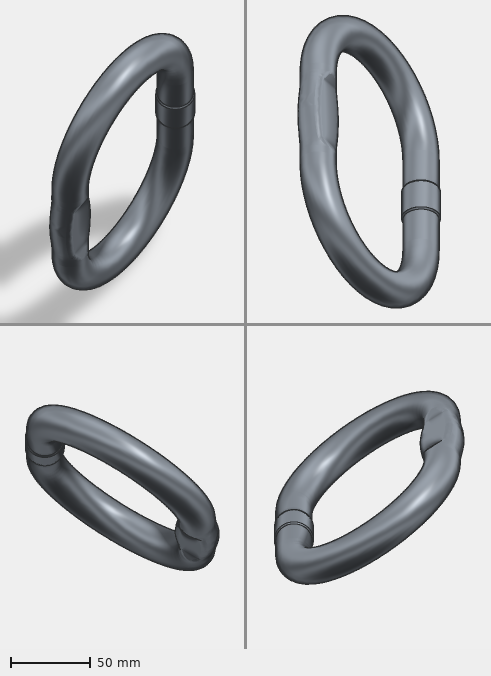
import cadquery as cq
import math

bar_diameter = 23.0
ring_height = 205.7
ring_width = 135.8

collar_diameter = 24.7
collar_length = 23.0
collar_end_length = 1.2

grip_diameter = 28.0
grip_length = 60.0
grip_crown_length = 43.2
grip_thickness = 17.3
flat_length = 45.5
ramp_angle = 21.0
ramp_foot_radius = 5.1
flat_edge_radius = 4.5

bar_radius = bar_diameter / 2
bend_radius = (ring_width - bar_diameter) / 2
leg_half = (ring_height - ring_width) / 2


def bend():
    """Half-circle bar joining the tops of the two legs."""
    return (
        cq.Workplane("XY", origin=(0, 0, leg_half))
        .center(0, bend_radius)
        .circle(bar_radius)
        .revolve(180, (0, -bend_radius), (1, -bend_radius))
    )


def plain_leg():
    """Straight bar of the +Y leg with its bevelled collar."""
    leg = cq.Workplane("XY", origin=(0, 0, -leg_half)).circle(bar_radius).extrude(2 * leg_half)
    bevel_depth = (collar_diameter - bar_diameter) / 2
    collar = (
        cq.Workplane("XY", origin=(0, 0, -collar_length / 2))
        .circle(collar_diameter / 2)
        .extrude(collar_length)
        .faces("|Z")
        .chamfer(collar_end_length, bevel_depth)
    )
    return leg.union(collar).translate((0, bend_radius, 0))


def grip_body():
    """Round leg that swells smoothly towards the middle."""
    grip_half = grip_length / 2
    crown_half = grip_crown_length / 2
    end_tangents = [(0, 1), (0, 1)]
    crown_radius = grip_diameter / 2
    swell = crown_radius - bar_radius
    shoulder_radius = bar_radius + swell * (1 - crown_half / grip_half)
    return (
        cq.Workplane("YZ")
        .moveTo(0, -leg_half)
        .lineTo(bar_radius, -leg_half)
        .lineTo(bar_radius, -grip_half)
        .spline([(shoulder_radius, -crown_half), (crown_radius, 0)], end_tangents, includeCurrent=True)
        .spline([(shoulder_radius, crown_half), (bar_radius, grip_half)], end_tangents, includeCurrent=True)
        .lineTo(bar_radius, leg_half)
        .lineTo(0, leg_half)
        .close()
        .revolve(360, (0, 0), (0, 1))
    )


def flat_cutter(side):
    """Trapezoidal block that removes one flat and its ramps; side is +1 or -1 along X."""
    flat_x = grip_thickness / 2
    outer_x = grip_diameter
    flat_half = flat_length / 2
    outer_half = flat_half + (outer_x - flat_x) / math.tan(math.radians(ramp_angle))
    foot_edges = "<X" if side > 0 else ">X"
    return (
        cq.Workplane("XZ")
        .moveTo(side * flat_x, -flat_half)
        .lineTo(side * flat_x, flat_half)
        .lineTo(side * outer_x, outer_half)
        .lineTo(side * outer_x, -outer_half)
        .close()
        .extrude(grip_diameter, both=True)
        .edges("|Y")
        .edges(foot_edges)
        .fillet(ramp_foot_radius)
    )


def grip_leg():
    """Complete -Y leg: swollen body with two rounded-off flats."""
    leg = grip_body().cut(flat_cutter(1)).cut(flat_cutter(-1))
    leg = leg.edges("%BSPLINE or %ELLIPSE").fillet(flat_edge_radius)
    return leg.translate((0, -bend_radius, 0))


upper_bend = bend()
lower_bend = upper_bend.mirror("XY")
ring = plain_leg().union(upper_bend).union(grip_leg()).union(lower_bend)
result = cq.Workplane(ring.solids().val())